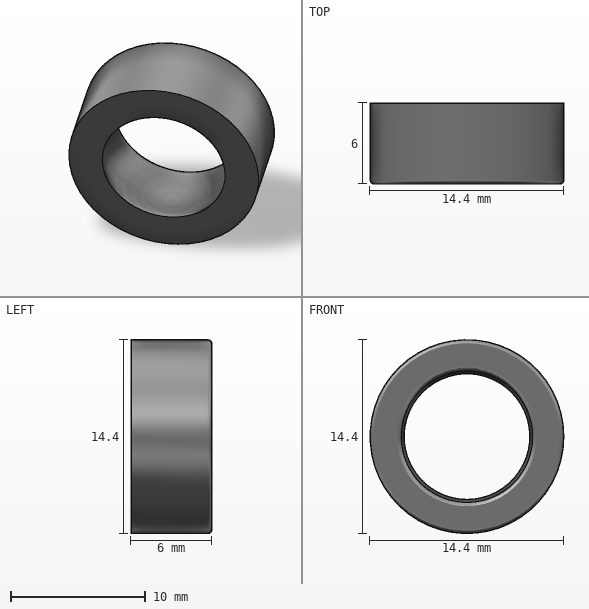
import cadquery as cq

outer_diameter = 14.4
width = 6.0
bore_sphere_radius = 5.55
edge_radius = 0.3


def plain_ring():
    """Cylindrical ring along Y with a spherical bore open at both ends."""
    cylinder = (
        cq.Workplane("XZ", origin=(0, width / 2, 0))
        .circle(outer_diameter / 2)
        .extrude(width)
    )
    spherical_seat = cq.Workplane("XY").sphere(bore_sphere_radius)
    return cylinder.cut(spherical_seat)


def round_front_edges(ring):
    """Round the outer rim and the bore mouth of the -Y face."""
    return ring.faces("<Y").edges().fillet(edge_radius)


result = round_front_edges(plain_ring())